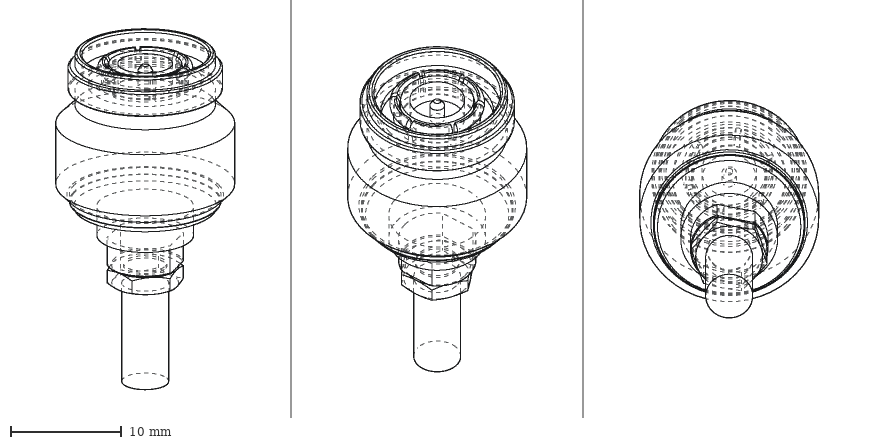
import cadquery as cq
import math


total_height = 31.75
nut_bottom_z = 9.52
nut_top_z = 11.18
flatted_bottom_z = 11.4
spigot_bottom_z = 14.13
shell_bottom_z = 16.92
step_bottom_z = 17.43
step_top_z = 18.05
body_bottom_z = 19.08
shoulder_top_z = 26.73
ring_bottom_z = 28.23
ring_top_z = 30.58

tube_radius = 2.13
thread_radius = 1.97
spigot_radius = 4.38
end_cone_radius = 6.48
end_cone_rim_radius = 6.75
step_radius = 6.85
body_radius = 8.1
neck_radius = 6.35
ring_radius = 7.0
body_lower_radius = body_radius - (body_bottom_z - step_top_z)
body_upper_z = shoulder_top_z - (body_radius - neck_radius)

across_flats = 6.05
across_corners = across_flats / math.cos(math.radians(30))
corner_radius = across_corners / 2
nut_corner_drop = 0.22
nut_face_radius = across_flats / 2

rim_chamfer = 0.2
ring_lower_chamfer = 0.1
flatted_chamfer = 0.1

socket_floor_z = 28.5
socket_mouth_radius = 5.7
socket_bore_radius = 5.1
seat_top_z = 29.88
seat_bottom_z = seat_top_z - (socket_mouth_radius - socket_bore_radius)

insulator_radius = 3.3
insulator_top_z = 30.73
insulator_bore_radius = 2.48
pin_radius = 0.67
pin_tip_radius = 0.32
pin_nose_mid_radius = 0.55
pin_shoulder_z = 30.07
pin_tip_z = 30.58

finger_top_z = 30.9
finger_bore_radius = 3.4
finger_inner_edge_radius = 3.68
finger_outer_edge_radius = 3.87
finger_stem_radius = 3.95
finger_flare_z = 30.32
bead_radius = 0.55
bead_outer_radius = 4.3
slot_count = 6
slot_width = 0.48


def revolve_profile(profile):
    """Revolve a closed (radius, height) profile drawn in XZ about the Z axis."""
    return profile.close().revolve(360, (0, 0, 0), (0, 1, 0))


def cylinder(radius, bottom_z, top_z):
    return cq.Workplane("XY").workplane(offset=bottom_z).circle(radius).extrude(top_z - bottom_z)


def make_shell():
    """Outer shell with its 45 degree shoulders, marking ring and chamfered rim."""
    outline = [
        (0, shell_bottom_z),
        (end_cone_radius, shell_bottom_z),
        (end_cone_rim_radius, step_bottom_z),
        (step_radius, step_bottom_z),
        (step_radius, step_top_z),
        (body_lower_radius, step_top_z),
        (body_radius, body_bottom_z),
        (body_radius, body_upper_z),
        (neck_radius, shoulder_top_z),
        (neck_radius, total_height - rim_chamfer),
        (neck_radius - rim_chamfer, total_height),
        (0, total_height),
    ]
    shell = revolve_profile(cq.Workplane("XZ").polyline(outline))
    ring = cylinder(ring_radius, ring_bottom_z, ring_top_z)
    ring = ring.faces(">Z").edges().chamfer(rim_chamfer)
    ring = ring.faces("<Z").edges().chamfer(ring_lower_chamfer)
    return shell.union(ring)


def make_socket():
    """Cavity with a chamfered mouth and a conical seat above the flat floor."""
    outline = [
        (0, socket_floor_z),
        (socket_bore_radius, socket_floor_z),
        (socket_bore_radius, seat_bottom_z),
        (socket_mouth_radius, seat_top_z),
        (socket_mouth_radius, total_height - rim_chamfer),
        (socket_mouth_radius + rim_chamfer, total_height),
        (0, total_height),
    ]
    return revolve_profile(cq.Workplane("XZ").polyline(outline))


def make_cable_end():
    """Spigot, flatted section, threaded gap and cable tube below the shell."""
    spigot = cylinder(spigot_radius, spigot_bottom_z, shell_bottom_z)
    flatted = cylinder(corner_radius, flatted_bottom_z, spigot_bottom_z)
    flatted = flatted.faces("<Z").edges().chamfer(flatted_chamfer)
    flats = (
        cq.Workplane("XY").workplane(offset=flatted_bottom_z)
        .rect(across_flats, 2 * across_corners)
        .extrude(spigot_bottom_z - flatted_bottom_z)
    )
    thread = cylinder(thread_radius, nut_top_z, flatted_bottom_z)
    tube = cylinder(tube_radius, 0, nut_bottom_z)
    return spigot.union(flatted.intersect(flats)).union(thread).union(tube)


def make_nut():
    """Hexagon nut, corners on Y, both faces turned down to cones at the corners."""
    hexagon = (
        cq.Workplane("XY").workplane(offset=nut_bottom_z)
        .transformed(rotate=(0, 0, 90))
        .polygon(6, across_corners)
        .extrude(nut_top_z - nut_bottom_z)
    )
    turned_outline = [
        (0, nut_bottom_z),
        (nut_face_radius, nut_bottom_z),
        (corner_radius, nut_bottom_z + nut_corner_drop),
        (corner_radius, nut_top_z - nut_corner_drop),
        (nut_face_radius, nut_top_z),
        (0, nut_top_z),
    ]
    return hexagon.intersect(revolve_profile(cq.Workplane("XZ").polyline(turned_outline)))


def make_fingers():
    """Beaded ring split into spring fingers by radial slots."""
    bead_centre_radius = bead_outer_radius - bead_radius
    bead_rise = math.sqrt(bead_radius**2 - (finger_outer_edge_radius - bead_centre_radius) ** 2)
    bead_centre_z = finger_top_z - bead_rise
    bead_fall = math.sqrt(bead_radius**2 - (finger_stem_radius - bead_centre_radius) ** 2)
    profile = (
        cq.Workplane("XZ")
        .moveTo(finger_bore_radius, socket_floor_z)
        .lineTo(finger_stem_radius, socket_floor_z)
        .lineTo(finger_stem_radius, bead_centre_z - bead_fall)
        .threePointArc((bead_outer_radius, bead_centre_z), (finger_outer_edge_radius, finger_top_z))
        .lineTo(finger_inner_edge_radius, finger_top_z)
        .lineTo(finger_bore_radius, finger_flare_z)
    )
    fingers = revolve_profile(profile)
    slot_pair = (
        cq.Workplane("XY").workplane(offset=socket_floor_z)
        .rect(2 * body_radius, slot_width)
        .extrude(total_height - socket_floor_z)
    )
    for index in range(slot_count // 2):
        fingers = fingers.cut(slot_pair.rotate((0, 0, 0), (0, 0, 1), index * 360 / slot_count))
    return fingers


def make_insulator():
    """Insulating sleeve, standing clear of the fingers and the pin."""
    bore = cylinder(insulator_bore_radius, socket_floor_z, insulator_top_z)
    return cylinder(insulator_radius, socket_floor_z, insulator_top_z).cut(bore)


def make_pin():
    """Centre pin with a rounded nose and a flat tip."""
    nose_mid_z = (pin_shoulder_z + pin_tip_z) / 2
    profile = (
        cq.Workplane("XZ")
        .moveTo(0, socket_floor_z)
        .lineTo(pin_radius, socket_floor_z)
        .lineTo(pin_radius, pin_shoulder_z)
        .threePointArc((pin_nose_mid_radius, nose_mid_z), (pin_tip_radius, pin_tip_z))
        .lineTo(0, pin_tip_z)
    )
    return revolve_profile(profile)


result = make_shell().cut(make_socket())
for piece in (make_cable_end(), make_nut(), make_fingers(), make_insulator(), make_pin()):
    result = result.union(piece)